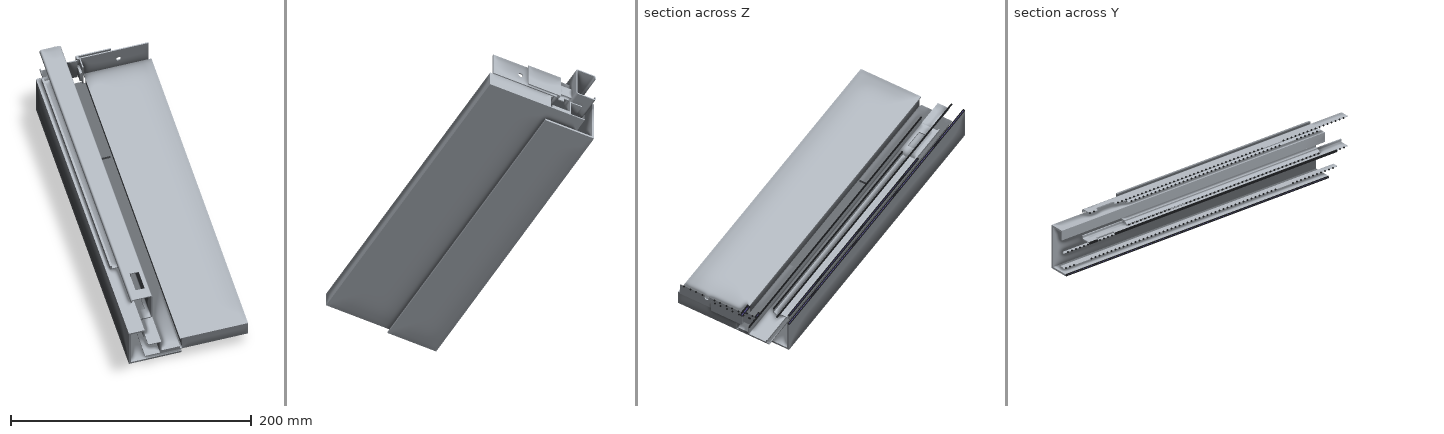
import cadquery as cq

SHEET = 1.0

COVER_START, COVER_END = 20.2, 299.7
COVER_WALL = 1.8
COVER_HEIGHT = 40.7
COVER_FLOOR_DEPTH = 45.5
COVER_TOP_DEPTH = 13.5
COVER_LIP_BOTTOM = 31.7

RAIL_LENGTH = 274.7
RAIL_FRONT, RAIL_BACK = 9.0, 27.5
RAIL_BOTTOM, RAIL_TOP = 22.5, 51.5
RAIL_MIDDLE = (RAIL_BOTTOM + RAIL_TOP) / 2
RAIL_LIP = 3.5
RAIL_BEND = 2.0
WINDOW_START, WINDOW_END = 247.2, 265.3
WINDOW_FRONT, WINDOW_BACK = 15.7, 23.5

SLIDER_START, SLIDER_END = 28.3, 233.7
SLIDER_BACK = 20.8
SLIDER_HALF_HEIGHT = 10.3
SLIDER_STEP_Y = 14.2
SLIDER_STEP = 1.2
BEAD_Y, BEAD_HALF_WIDTH, BEAD_HEIGHT = 17.2, 1.8, 1.8
SLIDER_LIP_WALL = 1.8
UPPER_LIP_FRONT, UPPER_LIP_TOP = 2.7, 49.7
LOWER_LIP_FRONT, LOWER_LIP_TOP = 4.5, 36.5

TRAY_START, TRAY_END = 11.2, 301.5
BASE_BOTTOM = 7.2
BASE_TOP = BASE_BOTTOM + SHEET
BASE_FRONT, BASE_BACK = 13.5, 102.5
BASE_FLANGE_FRONT = 16.3
PAD_BACK, PAD_TOP = 43.7, 11.0
PAD_GAP_START, PAD_GAP_END = 93.0, 203.8
SHELL_TOP = 21.0
SHELL_WALL_FRONT = 45.5

PLATE_TOP = 42.8
END_PLATE_FRONT, END_PLATE_BACK = 40.0, 100.0
END_PLATE_HOLE_DIAMETER = 4.2
END_PLATE_HOLE_Y, END_PLATE_HOLE_Z = 74.2, 30.8
FLANGE_END = 21.0
CLIP_WEB_END = 20.2
CLIP_START = 7.5
CLIP_FRONT, CLIP_BACK = 38.0, 68.5
CLIP_LOWER_TAB_FRONT = 32.5
CLIP_NOSE_BOTTOM, CLIP_NOSE_TOP = 24.5, 34.7
CLIP_TAB_END = 13.0
CLIP_FOOT_BACK, CLIP_FOOT_END = 29.0, 18.5


def box(x_range, y_range, z_range):
    """Box between the given limits along each axis."""
    size = [high - low for low, high in (x_range, y_range, z_range)]
    corner = (x_range[0], y_range[0], z_range[0])
    return cq.Workplane("XY").box(*size, centered=False).translate(corner)


def extrusion(points, start, end):
    """Closed outline of (Y, Z) points, extruded along X from start to end."""
    return cq.Workplane("YZ", origin=(start, 0, 0)).polyline(points).close().extrude(end - start)


def make_cover():
    """Floor, front wall and top of equal thickness, with a thin lip turned down."""
    lip_inner = COVER_TOP_DEPTH - SHEET
    ceiling = COVER_HEIGHT - COVER_WALL
    outline = [
        (0, 0),
        (COVER_FLOOR_DEPTH, 0),
        (COVER_FLOOR_DEPTH, COVER_WALL),
        (COVER_WALL, COVER_WALL),
        (COVER_WALL, ceiling),
        (lip_inner, ceiling),
        (lip_inner, COVER_LIP_BOTTOM),
        (COVER_TOP_DEPTH, COVER_LIP_BOTTOM),
        (COVER_TOP_DEPTH, COVER_HEIGHT),
        (0, COVER_HEIGHT),
    ]
    return extrusion(outline, COVER_START, COVER_END)


def make_rail():
    """Rounded C-shaped profile, with a window through both its top and its bottom."""
    length = (0, RAIL_LENGTH)
    outer = box(length, (RAIL_FRONT, RAIL_BACK), (RAIL_BOTTOM, RAIL_TOP)).edges("|X").fillet(RAIL_BEND)
    inner = box(
        length,
        (RAIL_FRONT + SHEET, RAIL_BACK - SHEET),
        (RAIL_BOTTOM + SHEET, RAIL_TOP - SHEET),
    ).edges("|X").fillet(RAIL_BEND - SHEET)
    opening = box(
        length,
        (RAIL_FRONT, RAIL_FRONT + SHEET),
        (RAIL_BOTTOM + RAIL_LIP, RAIL_TOP - RAIL_LIP),
    )
    windows = box(
        (WINDOW_START, WINDOW_END),
        (WINDOW_FRONT, WINDOW_BACK),
        (RAIL_BOTTOM, RAIL_TOP),
    )
    return outer.cut(inner).cut(opening).cut(windows)


def make_slider():
    """Upright web with a beaded, stepped flange and a raised lip above and below."""
    outer_half = SLIDER_HALF_HEIGHT
    step_half = outer_half - SLIDER_STEP
    bead_back = BEAD_Y + BEAD_HALF_WIDTH
    bead_front = BEAD_Y - BEAD_HALF_WIDTH
    slider = box(
        (SLIDER_START, SLIDER_END),
        (SLIDER_BACK - SHEET, SLIDER_BACK),
        (RAIL_MIDDLE - outer_half, RAIL_MIDDLE + outer_half),
    )
    for side, lip_front, lip_top in (
        (1, UPPER_LIP_FRONT, UPPER_LIP_TOP),
        (-1, LOWER_LIP_FRONT, LOWER_LIP_TOP),
    ):
        flange = [
            (SLIDER_BACK, outer_half),
            (bead_back, outer_half),
            (BEAD_Y, outer_half + BEAD_HEIGHT),
            (bead_front, outer_half),
            (SLIDER_STEP_Y - SHEET, outer_half),
            (SLIDER_STEP_Y - SHEET, step_half),
            (lip_front, step_half),
            (lip_front, step_half - SHEET),
            (SLIDER_STEP_Y, step_half - SHEET),
            (SLIDER_STEP_Y, outer_half - SHEET),
            (bead_front, outer_half - SHEET),
            (BEAD_Y, outer_half + BEAD_HEIGHT - SHEET),
            (bead_back, outer_half - SHEET),
            (SLIDER_BACK, outer_half - SHEET),
        ]
        outline = [(y, RAIL_MIDDLE + side * height) for y, height in flange]
        lip_bottom = RAIL_MIDDLE + min(side * step_half, side * (step_half - SHEET))
        lip = box(
            (SLIDER_START, SLIDER_END),
            (lip_front, lip_front + SLIDER_LIP_WALL),
            (lip_bottom, lip_top),
        )
        slider = slider.union(extrusion(outline, SLIDER_START, SLIDER_END)).union(lip)
    return slider


def make_base():
    """Floor sheet with an upright wall, a flange under the outer rail and two raised pads."""
    length = (TRAY_START, TRAY_END)
    wall_front = RAIL_BACK - SHEET
    base = box(length, (BASE_FRONT, BASE_BACK), (BASE_BOTTOM, BASE_TOP))
    base = base.union(box(length, (wall_front, RAIL_BACK), (BASE_BOTTOM, RAIL_BOTTOM)))
    flange_levels = (RAIL_BOTTOM - SHEET, RAIL_BOTTOM)
    base = base.union(box(length, (BASE_FLANGE_FRONT, RAIL_BACK), flange_levels))
    for pad_length in ((TRAY_START, PAD_GAP_START), (PAD_GAP_END, TRAY_END)):
        base = base.union(box(pad_length, (wall_front, PAD_BACK), (BASE_BOTTOM, PAD_TOP)))
    return base


def make_shell():
    """Back wall, lid and front wall around the core; the lid overhangs the front wall."""
    wall_inner = SHELL_WALL_FRONT + SHEET
    back_inner = BASE_BACK - SHEET
    lid_bottom = SHELL_TOP - SHEET
    outline = [
        (BASE_BACK, BASE_TOP),
        (BASE_BACK, SHELL_TOP),
        (PAD_BACK, SHELL_TOP),
        (PAD_BACK, lid_bottom),
        (SHELL_WALL_FRONT, lid_bottom),
        (SHELL_WALL_FRONT, BASE_TOP),
        (wall_inner, BASE_TOP),
        (wall_inner, lid_bottom),
        (back_inner, lid_bottom),
        (back_inner, BASE_TOP),
    ]
    return extrusion(outline, TRAY_START, TRAY_END)


def make_core():
    """Solid block that fills the space between the shell and the floor."""
    return box(
        (TRAY_START, TRAY_END),
        (SHELL_WALL_FRONT + SHEET, BASE_BACK - SHEET),
        (BASE_TOP, SHELL_TOP - SHEET),
    )


def make_end_plate():
    """Upright plate in front of the tray, with a flange turned towards +X and a hole."""
    height = (SHELL_TOP, PLATE_TOP)
    plate_x = TRAY_START - SHEET
    plate = box((plate_x, TRAY_START), (END_PLATE_FRONT, END_PLATE_BACK), height)
    flange = box((plate_x, FLANGE_END), (END_PLATE_FRONT, END_PLATE_FRONT + SHEET), height)
    hole = (
        cq.Workplane("YZ", origin=(plate_x, END_PLATE_HOLE_Y, END_PLATE_HOLE_Z))
        .circle(END_PLATE_HOLE_DIAMETER / 2)
        .extrude(SHEET)
    )
    return plate.union(flange).cut(hole)


def make_clip():
    """Plate ahead of the end plate, tied to it and held against the rail by a nose, a tab and a foot."""
    height = (SHELL_TOP, PLATE_TOP)
    nose_levels = (CLIP_NOSE_BOTTOM, CLIP_NOSE_TOP)
    upper = (CLIP_NOSE_BOTTOM, PLATE_TOP)
    plate_back = CLIP_START + SHEET
    tab_x = (CLIP_TAB_END - SHEET, CLIP_TAB_END)
    plate = box((CLIP_START, plate_back), (CLIP_FRONT, CLIP_BACK), height)
    tie = box((CLIP_START, TRAY_START), (CLIP_FRONT, END_PLATE_FRONT), height)
    web = box((TRAY_START, CLIP_WEB_END), (CLIP_FRONT, END_PLATE_FRONT), nose_levels)
    nose = box((plate_back, plate_back + SHEET), (RAIL_BACK, CLIP_FRONT), nose_levels)
    tab = box(tab_x, (RAIL_BACK, CLIP_FRONT), upper)
    lower_tab = box(tab_x, (CLIP_LOWER_TAB_FRONT, CLIP_FRONT), (SHELL_TOP, CLIP_NOSE_BOTTOM))
    foot = box((tab_x[0], CLIP_FOOT_END), (RAIL_BACK, CLIP_FOOT_BACK), upper)
    return plate.union(tie).union(web).union(nose).union(tab).union(lower_tab).union(foot)


cover = make_cover()
rail = make_rail()
slider = make_slider()
base = make_base()
shell = make_shell()
core = make_core()
end_plate = make_end_plate()
clip = make_clip()

bodies = [cover, rail, slider, base, shell, core, end_plate, clip]
result = cq.Compound.makeCompound([body.val() for body in bodies])